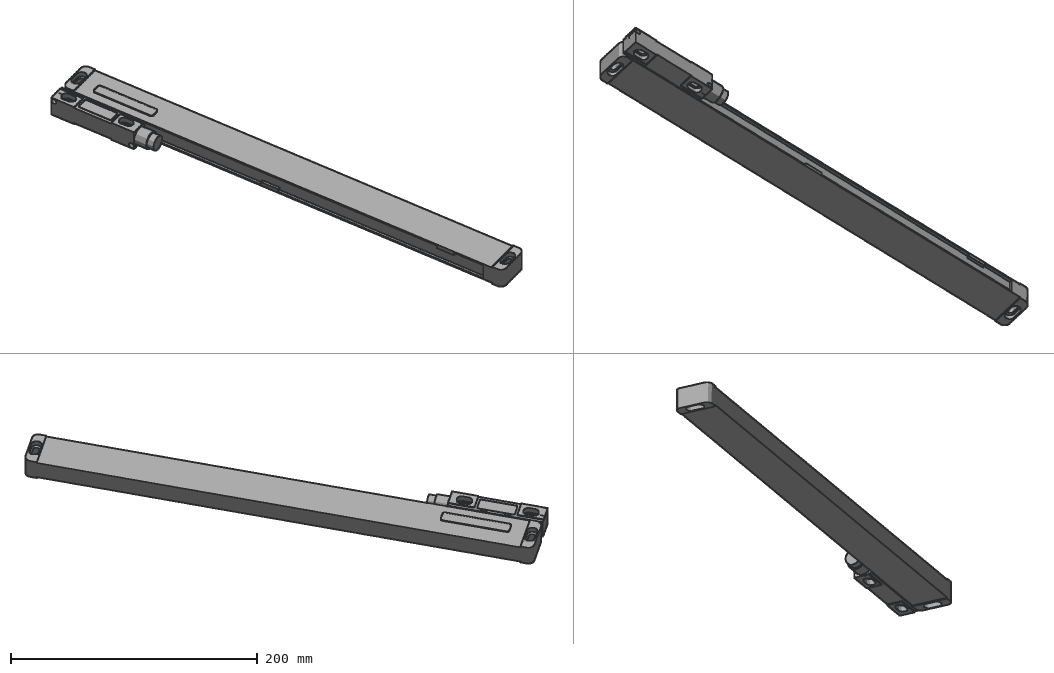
import cadquery as cq

total_length = 425.0
beam_height = 16.0
beam_inset_z = 0.95
beam_top = beam_inset_z + beam_height
total_height = beam_top + beam_inset_z
mid_height = total_height / 2

cap_length = 10.5
scale_width = 32.0
cap_corner_radius = 5.0

slot_end_margin = 19.0
slot_depth = 2.5
lip_thickness = 1.3
slot_height = beam_height - 2 * lip_thickness

clip_length = 16.5
clip_height = 2.5
upper_clip_start = 361.2
lower_clip_start = 191.2

cap_hole_inset = 5.5
cap_slot_length = 10.0
cap_slot_width = 5.0
cap_recess_length = 15.7
cap_recess_width = 8.5
cap_recess_depth = 4.5

scale_label_start = 24.0
scale_label_length = 57.5
scale_label_front = 8.0
scale_label_width = 9.5
scale_label_thickness = beam_inset_z
scale_label_radius = 2.0

head_gap = 1.0
head_back = -head_gap
head_length = 80.0
head_width = 16.0
head_front = head_back - head_width
ledge_width = 2.5
ledge_drop = 1.0
ledge_pocket_length = 4.2
ledge_pocket_width = 1.5
ledge_pocket_depth = 2.0
ledge_pocket_starts = (27.5, 47.5)

relief_start = 22.0
relief_end = 58.0
relief_depth = 1.0
head_label_start = 24.2
head_label_length = 31.5
head_label_width = 10.5
head_label_thickness = 0.5
head_label_radius = 1.3

head_hole_y = -9.5
head_hole_positions = (12.0, 67.5)
head_slot_length = 8.5
head_slot_width = 5.0
head_recess_length = 12.8
head_recess_width = 8.0
head_recess_depth = 5.0

screw_head_diameter = 4.5
screw_head_depth = 9.0
screw_hole_diameter = 2.0
screw_hole_inset_x = 2.5
screw_hole_inset_z = 3.0

connector_y = -9.0
collar_diameter = 15.7
collar_length = 11.5
cable_diameter = 13.0
cable_length = 6.5


def box(x, y, z, length, width, height):
    """Box with its lowest corner at (x, y, z)."""
    return cq.Workplane("XY").box(length, width, height, centered=False).translate((x, y, z))


def upright_slot(x, y, z, length, width, height, angle):
    """Round-ended prism standing on height z, its long side turned by angle from X."""
    return cq.Workplane("XY", origin=(x, y, z)).slot2D(length, width, angle).extrude(height)


def recessed_slot(x, y, angle, length, width, recess_length, recess_width, recess_depth):
    """Cutter for a through slot with a wider recess at its upper and lower ends."""
    cutter = upright_slot(x, y, 0, length, width, total_height, angle)
    for z in (0, total_height - recess_depth):
        cutter = cutter.union(upright_slot(x, y, z, recess_length, recess_width, recess_depth, angle))
    return cutter


def make_cap(x, outer_edges):
    """End cap with rounded outer corners."""
    cap = box(x, 0, 0, cap_length, scale_width, total_height)
    return cap.edges(outer_edges).fillet(cap_corner_radius)


def make_beam():
    """Beam with a shallow front slot, two clips inside the slot and a raised label."""
    beam = box(
        cap_length, 0, beam_inset_z,
        total_length - 2 * cap_length, scale_width, beam_height,
    )
    slot_bottom = beam_inset_z + lip_thickness
    slot_top = slot_bottom + slot_height
    slot_length = total_length - 2 * slot_end_margin
    beam = beam.cut(box(slot_end_margin, 0, slot_bottom, slot_length, slot_depth, slot_height))
    for x, z in ((lower_clip_start, slot_bottom), (upper_clip_start, slot_top - clip_height)):
        beam = beam.union(box(x, 0, z, clip_length, slot_depth, clip_height))
    label = box(
        scale_label_start, scale_label_front, beam_top,
        scale_label_length, scale_label_width, scale_label_thickness,
    )
    return beam.union(label.edges("|Z").fillet(scale_label_radius))


def make_scale():
    """Beam and end caps as one solid, with a mounting slot in each cap."""
    scale = make_beam()
    scale = scale.union(make_cap(0, "|Z and <X"))
    scale = scale.union(make_cap(total_length - cap_length, "|Z and >X"))
    for x in (cap_hole_inset, total_length - cap_hole_inset):
        scale = scale.cut(
            recessed_slot(
                x, scale_width / 2, 90, cap_slot_length, cap_slot_width,
                cap_recess_length, cap_recess_width, cap_recess_depth,
            )
        )
    return scale


def cut_ledges(head):
    """Lower the back strip of the top and bottom, with two small pockets in the upper strip."""
    ledge_front = head_back - ledge_width
    ledge_top = total_height - ledge_drop
    for z in (0, ledge_top):
        head = head.cut(box(0, ledge_front, z, head_length, ledge_width, ledge_drop))
    for x in ledge_pocket_starts:
        pocket = box(
            x, ledge_front, ledge_top - ledge_pocket_depth,
            ledge_pocket_length, ledge_pocket_width, ledge_pocket_depth,
        )
        head = head.cut(pocket)
    return head


def cut_reliefs(head):
    """Shallow reliefs across the top and bottom, the upper one carrying a thin label."""
    relief_length = relief_end - relief_start
    relief_width = head_width - ledge_width
    for z in (0, total_height - relief_depth):
        head = head.cut(box(relief_start, head_front, z, relief_length, relief_width, relief_depth))
    label = box(
        head_label_start, head_back - ledge_width - head_label_width, total_height - relief_depth,
        head_label_length, head_label_width, head_label_thickness,
    )
    return head.union(label.edges("|Z").fillet(head_label_radius))


def cut_head_holes(head):
    """Two mounting slots from top to bottom and two counterbored screw holes from front to back."""
    for x in head_hole_positions:
        head = head.cut(
            recessed_slot(
                x, head_hole_y, 0, head_slot_length, head_slot_width,
                head_recess_length, head_recess_width, head_recess_depth,
            )
        )
    screw_hole_places = (
        (screw_hole_inset_x, total_height - screw_hole_inset_z),
        (head_length - screw_hole_inset_x, screw_hole_inset_z),
    )
    for x, z in screw_hole_places:
        front = cq.Workplane("XZ", origin=(x, head_front, z))
        head = head.cut(front.circle(screw_head_diameter / 2).extrude(-screw_head_depth))
        head = head.cut(front.circle(screw_hole_diameter / 2).extrude(-head_width))
    return head


def add_connector(head):
    """Stepped round cable outlet on the end of the head."""
    end = cq.Workplane("YZ", origin=(head_length, connector_y, mid_height))
    head = head.union(end.circle(collar_diameter / 2).extrude(collar_length))
    return head.union(end.circle(cable_diameter / 2).extrude(collar_length + cable_length))


def make_head():
    head = box(0, head_front, 0, head_length, head_width, total_height)
    head = cut_ledges(head)
    head = cut_reliefs(head)
    head = cut_head_holes(head)
    return add_connector(head)


scale = make_scale()
reading_head = make_head()

result = cq.Compound.makeCompound([scale.val(), reading_head.val()])